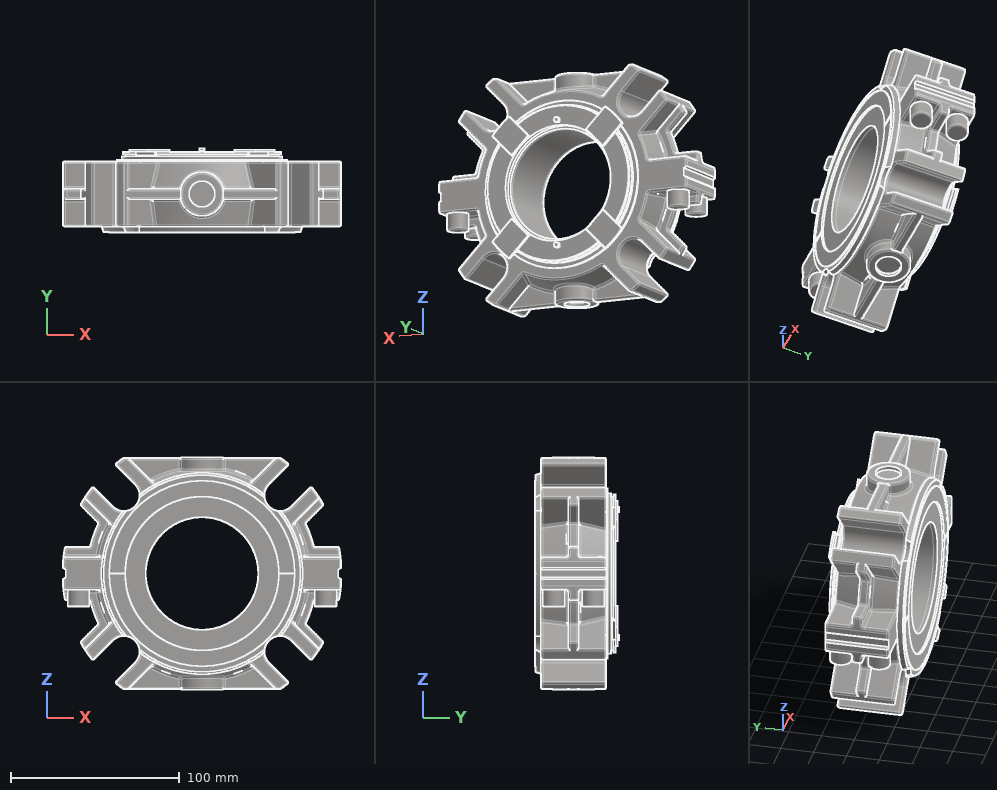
import cadquery as cq
import math

LENGTH = 164.9
TIP_RADIUS = 82.8
ARM_HEIGHT = 68.6
BOSS_HEIGHT = 69.0
HALF_DEPTH = 19.3

BORE_RADIUS = 66.6 / 2
REAR_BORE_RADIUS = 70.0 / 2
REAR_BORE_START = 21.5
FRONT_PLATE_RADIUS = 110.0 / 2
FRONT_PLATE_Y = -23.1
FLANGE_Y = -22.6
FLANGE_RADIUS = 58.4
CORE_FRONT_RADIUS = 59.7
CORE_MID_RADIUS = 63.2
CORE_REAR_RADIUS = 57.0
REAR_STEP_RADIUS = 50.6
REAR_STEP_Y = 20.3
COLLAR_RADIUS = 95.3 / 2
COLLAR_Y = 22.3
NECK_RADIUS = 91.2 / 2
NECK_Y = 23.4
RIM_RADIUS = 93.7 / 2
RIM_Y = 24.9
FACE_RECESS_RADIUS = 91.2 / 2
FACE_RECESS_DEPTH = 1.2
SPLIT_WIDTH = 0.3

SLOT_RADIUS = 9.2
SLOT_CENTRE = 65.5
ARM_OUTER = 17.5
ARM_ROOT = 51.1
DIAGONALS = (45, 135, 225, 315)

RIB_THICKNESS = 6.1
RIB_RING_RADIUS = 68.3
RIB_ARM_OUTER = 22.3
POCKET_OVERRUN = 3.3
POCKET_REACH = 140.2
RIB_BLOCK_HEIGHT = 15.8

BLOCK_HEIGHT = 9.7
GROOVE_DEPTH = 1.6
GROOVE_BOTTOM_HALF = 2.3
GROOVE_MOUTH_HALF = 3.5
SCREW_X = 73.2
SCREW_Y = 11.7
SCREW_RADIUS = 13.0 / 2
SCREW_END_Z = -19.6

BOSS_RADIUS = 13.0
BOSS_RECESS_RADIUS = 15.3 / 2
BOSS_RECESS_DEPTH = 2.5

CLIP_WIDTH = 15.7
CLIP_INNER = REAR_BORE_RADIUS
CLIP_OUTER_RADIUS = 53.6
CLIP_TOP_Y = 26.2
HOOK_OUTER = 47.5
HOOK_Y = 23.0
HOOK_OVERLAP = 1.6
PIN_Z = 38.0
PIN_HEAD_RADIUS = 3.1 / 2
PIN_NECK_RADIUS = 2.6 / 2
PIN_HEAD_Y = 25.7
PIN_TOP_Y = 27.2

EDGE_ROUND = 1.2
ROOT_ROUND = 1.6
ON_SKIN = 0.02
SCREW_ROUND = 0.7


def along_y(start, end):
    """Workplane across Y at start, with the extrusion length to end."""
    return cq.Workplane("XZ", origin=(0, start, 0)), start - end


def disc(radius, start, end):
    plane, length = along_y(start, end)
    return plane.circle(radius).extrude(length)


def slab(x0, x1, z0, z1, half_depth):
    """Box between the given X and Z limits, centred on Y = 0."""
    return cq.Workplane("XY").box(x1 - x0, 2 * half_depth, z1 - z0).translate(
        ((x0 + x1) / 2, 0, (z0 + z1) / 2))


def turned(shape, angle):
    """Turn a shape about the ring axis, from +X toward +Z."""
    return shape.rotate((0, 0, 0), (0, 1, 0), -angle)


def ring_of(shape):
    """The shape repeated on the four diagonals, as one body."""
    shapes = turned(shape, DIAGONALS[0])
    for angle in DIAGONALS[1:]:
        shapes = shapes.union(turned(shape, angle))
    return shapes


def distance_from_axis(edge):
    centre = edge.Center()
    return math.hypot(centre.x, centre.z)


def make_core():
    recess_y = FRONT_PLATE_Y + FACE_RECESS_DEPTH
    outline = [
        (BORE_RADIUS, recess_y),
        (FACE_RECESS_RADIUS, recess_y),
        (FACE_RECESS_RADIUS, FRONT_PLATE_Y),
        (FRONT_PLATE_RADIUS, FRONT_PLATE_Y),
        (FRONT_PLATE_RADIUS, FLANGE_Y),
        (FLANGE_RADIUS, FLANGE_Y),
        (CORE_FRONT_RADIUS, -HALF_DEPTH),
        (REAR_STEP_RADIUS, -HALF_DEPTH),
        (REAR_STEP_RADIUS, REAR_STEP_Y),
        (COLLAR_RADIUS, REAR_STEP_Y),
        (COLLAR_RADIUS, COLLAR_Y),
        (NECK_RADIUS, COLLAR_Y),
        (NECK_RADIUS, NECK_Y),
        (RIM_RADIUS, NECK_Y),
        (RIM_RADIUS, RIM_Y),
        (REAR_BORE_RADIUS, RIM_Y),
        (REAR_BORE_RADIUS, REAR_BORE_START),
        (BORE_RADIUS, REAR_BORE_START),
    ]
    return cq.Workplane("XY").polyline(outline).close().revolve(360, (0, 0, 0), (0, 1, 0))


def make_slots():
    slot = disc(SLOT_RADIUS, FRONT_PLATE_Y, HALF_DEPTH).translate((SLOT_CENTRE, 0, 0))
    slot = slot.union(slab(SLOT_CENTRE, LENGTH, -SLOT_RADIUS, SLOT_RADIUS, -FRONT_PLATE_Y))
    return ring_of(slot)


def make_silhouette():
    """Body outline along Y, full depth: ring, arms, side blocks and slots."""
    arm_bar = slab(ARM_ROOT, LENGTH, -RIB_ARM_OUTER, RIB_ARM_OUTER, HALF_DEPTH)
    side_bar = slab(-LENGTH / 2, LENGTH / 2, -RIB_BLOCK_HEIGHT, RIB_BLOCK_HEIGHT, HALF_DEPTH)
    web_half_length = ARM_HEIGHT - SLOT_RADIUS * math.sqrt(2)
    web = slab(-web_half_length, web_half_length, -ARM_HEIGHT, ARM_HEIGHT, HALF_DEPTH)
    trim = slab(-LENGTH / 2, LENGTH / 2, -ARM_HEIGHT, ARM_HEIGHT, HALF_DEPTH)
    return (
        disc(RIB_RING_RADIUS, -HALF_DEPTH, HALF_DEPTH)
        .union(ring_of(arm_bar))
        .union(side_bar)
        .union(web)
        .intersect(disc(TIP_RADIUS, -HALF_DEPTH, HALF_DEPTH))
        .intersect(trim)
        .cut(make_slots())
    )


def make_pocket(corners, face_radius):
    """Front pocket between the rib, the ring and its neighbours, with rounded roots.

    The corners are its (X, Z) outline, and face_radius is the radius of the
    tapered ring at the end face of the body.
    """
    start = -RIB_THICKNESS / 2
    end = -HALF_DEPTH - POCKET_OVERRUN
    end_radius = CORE_MID_RADIUS + (face_radius - CORE_MID_RADIUS) * end / -HALF_DEPTH
    cone = (
        cq.Workplane("XY")
        .polyline([(0, 0), (CORE_MID_RADIUS, 0), (end_radius, end), (0, end)]).close()
        .revolve(360, (0, 0, 0), (0, 1, 0))
    )
    boss_post = cq.Workplane("XY").circle(BOSS_RADIUS).extrude(2 * LENGTH)
    plane, length = along_y(start, end)
    pocket = plane.polyline(corners).close().extrude(length).cut(cone).cut(boss_post)
    roots = [
        edge for edge in pocket.edges().vals()
        if edge.Center().y > -HALF_DEPTH and distance_from_axis(edge) < POCKET_REACH
    ]
    return pocket.newObject(roots).fillet(ROOT_ROUND)


def make_pockets():
    arm_offset = ARM_OUTER * math.sqrt(2)
    top = [(0, arm_offset), (LENGTH, LENGTH + arm_offset), (-LENGTH, LENGTH + arm_offset)]
    beside = [
        (BLOCK_HEIGHT + arm_offset, BLOCK_HEIGHT),
        (LENGTH + arm_offset, BLOCK_HEIGHT),
        (LENGTH + arm_offset, LENGTH),
    ]
    pockets = []
    for face_radius, is_rear in ((CORE_FRONT_RADIUS, False), (CORE_REAR_RADIUS, True)):
        over = make_pocket(top, face_radius)
        right = make_pocket(beside, face_radius)
        for pocket in (over, right, right.mirror("YZ")):
            placed = pocket.mirror("XZ") if is_rear else pocket
            pockets += [placed, placed.mirror("XY")]
    return pockets


def make_housing():
    """Silhouette with its pockets, and every edge left on its skin rounded."""
    silhouette = make_silhouette()
    housing = silhouette
    for pocket in make_pockets():
        housing = housing.cut(pocket)
    skin = silhouette.val().Shells()[0]
    slot_reach = RIB_RING_RADIUS - ON_SKIN
    sharp = []
    for edge in housing.edges().vals():
        middle = cq.Vertex.makeVertex(*edge.positionAt(0.5).toTuple())
        on_skin = skin.distance(middle) < ON_SKIN
        along_slot = edge.BoundingBox().ylen > ON_SKIN and distance_from_axis(edge) < slot_reach
        if on_skin and not along_slot:
            sharp.append(edge)
    return housing.newObject(sharp).fillet(EDGE_ROUND)


def make_bore():
    front = disc(BORE_RADIUS, FRONT_PLATE_Y, REAR_BORE_START)
    return front.union(disc(REAR_BORE_RADIUS, REAR_BORE_START, RIM_Y))


def make_grooves():
    groove = (
        cq.Workplane("XZ")
        .moveTo(LENGTH / 2, -GROOVE_MOUTH_HALF)
        .lineTo(LENGTH / 2 - GROOVE_DEPTH, -GROOVE_BOTTOM_HALF)
        .lineTo(LENGTH / 2 - GROOVE_DEPTH, GROOVE_BOTTOM_HALF)
        .lineTo(LENGTH / 2, GROOVE_MOUTH_HALF)
        .close()
        .extrude(HALF_DEPTH, both=True)
    )
    return groove.union(groove.mirror("YZ"))


def make_bosses():
    boss = (
        cq.Workplane("XY", origin=(0, 0, ARM_ROOT))
        .circle(BOSS_RADIUS)
        .extrude(BOSS_HEIGHT - ARM_ROOT)
        .faces(">Z").edges().fillet(EDGE_ROUND)
    )
    return boss.union(boss.mirror("XY"))


def make_boss_recesses():
    recess = (
        cq.Workplane("XY", origin=(0, 0, BOSS_HEIGHT - BOSS_RECESS_DEPTH))
        .circle(BOSS_RECESS_RADIUS)
        .extrude(BOSS_RECESS_DEPTH)
    )
    return recess.union(recess.mirror("XY"))


def make_split():
    """Gap across the front plate, on both sides of the bore."""
    gap = slab(-FRONT_PLATE_RADIUS, FRONT_PLATE_RADIUS, -SPLIT_WIDTH / 2, SPLIT_WIDTH / 2, LENGTH)
    return gap.intersect(disc(FRONT_PLATE_RADIUS, FRONT_PLATE_Y, FLANGE_Y))


def make_screws():
    return (
        cq.Workplane("XY", origin=(0, 0, SCREW_END_Z))
        .rect(2 * SCREW_X, 2 * SCREW_Y, forConstruction=True)
        .vertices()
        .circle(SCREW_RADIUS)
        .extrude(-SCREW_END_Z - BLOCK_HEIGHT + EDGE_ROUND)
        .faces("<Z").edges().fillet(SCREW_ROUND)
    )


def make_clips():
    half = CLIP_WIDTH / 2
    plate = disc(CLIP_OUTER_RADIUS, RIM_Y, CLIP_TOP_Y).intersect(
        slab(CLIP_INNER, LENGTH, -half, half, LENGTH))
    hook_inner = NECK_RADIUS - HOOK_OVERLAP
    plane, length = along_y(HOOK_Y, RIM_Y)
    hook = (
        plane.center((hook_inner + HOOK_OUTER) / 2, 0)
        .rect(HOOK_OUTER - hook_inner, CLIP_WIDTH).extrude(length)
    )
    clip = plate.union(hook)
    return [turned(clip, angle) for angle in DIAGONALS]


def make_pin(z):
    neck = disc(PIN_NECK_RADIUS, RIM_Y, PIN_HEAD_Y)
    head = disc(PIN_HEAD_RADIUS, PIN_HEAD_Y, PIN_TOP_Y)
    return neck.union(head).translate((0, 0, z))


body = make_housing().union(make_core()).union(make_bosses())
body = body.cut(make_bore()).cut(make_slots()).cut(make_grooves())
body = body.cut(make_boss_recesses()).cut(make_split())
body = body.union(make_screws())
for clip in make_clips():
    body = body.union(clip)
for pin_z in (PIN_Z, -PIN_Z):
    body = body.union(make_pin(pin_z))
result = body